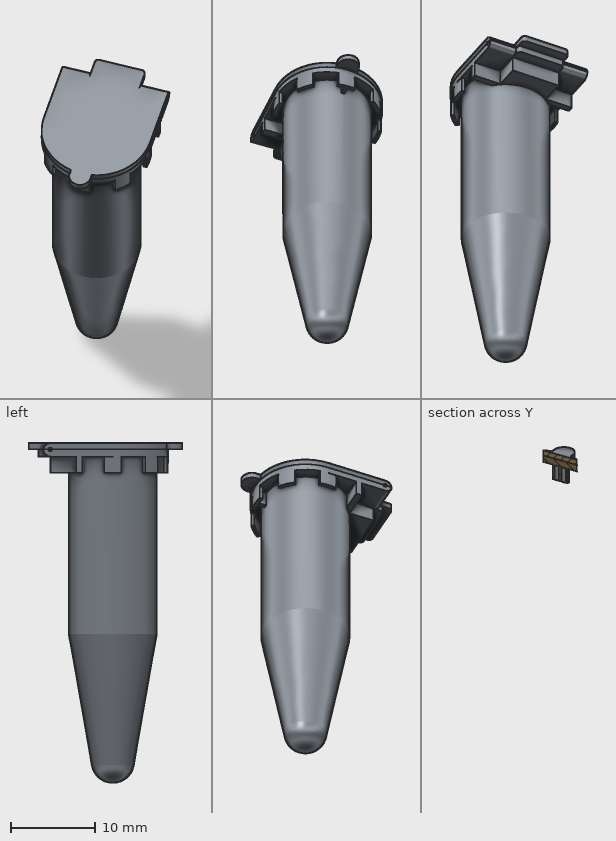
import cadquery as cq
import math

TOTAL_HEIGHT = 40.35
LID_THICKNESS = 0.75
FLANGE_THICKNESS = 0.85
TOOTH_HEIGHT = 1.95
CONE_TOP_Z = -22.68
CONE_BOTTOM_Z = -38.25

TUBE_RADIUS = 5.25
CONE_TIP_RADIUS = 2.5

HEAD_WIDTH = 13.1
HINGE_Y = 7.42

REAR_TAB_WIDTH = 6.17
LID_TAB_END_Y = 10.0
FLANGE_TAB_END_Y = 8.85
TAB_CORNER_RADIUS = 0.5
HINGE_HOLE_RADIUS = 0.2
HINGE_HOLE_DEPTH = 0.4

THUMB_TAB_WIDTH = 2.6
THUMB_TAB_END_Y = -8.27

TOOTH_WIDTH = 2.05
TOOTH_DEPTH = 0.4
TOOTH_ANGLES = (180, 225, 270, 315, 360)
RIB_THICKNESS = 0.4
WALL_FRONT_Y = 3.65
WALL_THICKNESS = 0.73

HEAD_RADIUS = HEAD_WIDTH / 2
PARTING_Z = -LID_THICKNESS
FLANGE_BOTTOM_Z = PARTING_Z - FLANGE_THICKNESS
SKIRT_BOTTOM_Z = FLANGE_BOTTOM_Z - TOOTH_HEIGHT


def head_plate(bottom_z, thickness):
    """Plate with a half-round front and straight sides that end at the hinge line."""
    return (
        cq.Workplane("XY", origin=(0, 0, bottom_z))
        .moveTo(-HEAD_RADIUS, HINGE_Y)
        .lineTo(-HEAD_RADIUS, 0)
        .threePointArc((0, -HEAD_RADIUS), (HEAD_RADIUS, 0))
        .lineTo(HEAD_RADIUS, HINGE_Y)
        .close()
        .extrude(thickness)
    )


def hinge_round(bottom_z, thickness):
    """Quarter-round rear edge of one plate, centred on the hinge axis at the parting plane."""
    barrel = (
        cq.Workplane("YZ", origin=(-HEAD_RADIUS, HINGE_Y, PARTING_Z))
        .circle(thickness)
        .extrude(HEAD_WIDTH)
    )
    quarter = cq.Workplane("XY").box(HEAD_WIDTH, thickness, thickness, centered=(True, False, False))
    return barrel.intersect(quarter.translate((0, HINGE_Y, bottom_z)))


def rear_tab(bottom_z, thickness, end_y):
    """Tab behind the hinge line with two rounded corners."""
    return (
        cq.Workplane("XY")
        .box(REAR_TAB_WIDTH, end_y, thickness, centered=(True, False, False))
        .edges("|Z and >Y")
        .fillet(TAB_CORNER_RADIUS)
        .translate((0, 0, bottom_z))
    )


def hinge_holes():
    """Blind pin holes on the hinge axis, one in each side."""
    left = (
        cq.Workplane("YZ", origin=(-HEAD_RADIUS, HINGE_Y, PARTING_Z))
        .circle(HINGE_HOLE_RADIUS)
        .extrude(HINGE_HOLE_DEPTH)
    )
    return left.union(left.mirror("YZ"))


def thumb_tab():
    """Round-ended tab for opening the lid."""
    end_radius = THUMB_TAB_WIDTH / 2
    straight_end_y = THUMB_TAB_END_Y + end_radius
    return (
        cq.Workplane("XY", origin=(0, 0, PARTING_Z))
        .moveTo(-end_radius, 0)
        .lineTo(-end_radius, straight_end_y)
        .threePointArc((0, THUMB_TAB_END_Y), (end_radius, straight_end_y))
        .lineTo(end_radius, 0)
        .close()
        .extrude(LID_THICKNESS)
    )


def make_lid():
    return (
        head_plate(PARTING_Z, LID_THICKNESS)
        .union(hinge_round(PARTING_Z, LID_THICKNESS))
        .union(rear_tab(PARTING_Z, LID_THICKNESS, LID_TAB_END_Y))
        .union(thumb_tab())
        .cut(hinge_holes())
    )


def tube_body():
    """Cylinder, cone and rounded tip, revolved about the Z axis."""
    tip_height = TOTAL_HEIGHT + CONE_BOTTOM_Z
    tip_radius = (CONE_TIP_RADIUS**2 + tip_height**2) / (2 * tip_height)
    half_angle = math.asin(CONE_TIP_RADIUS / tip_radius) / 2
    arc_mid = (
        tip_radius * math.sin(half_angle),
        -TOTAL_HEIGHT + tip_radius * (1 - math.cos(half_angle)),
    )
    return (
        cq.Workplane("XZ")
        .moveTo(0, PARTING_Z)
        .lineTo(TUBE_RADIUS, PARTING_Z)
        .lineTo(TUBE_RADIUS, CONE_TOP_Z)
        .lineTo(CONE_TIP_RADIUS, CONE_BOTTOM_Z)
        .threePointArc(arc_mid, (0, -TOTAL_HEIGHT))
        .close()
        .revolve(360, (0, 0), (0, 1))
    )


def skirt_tooth(angle):
    """Piece of a thin ring, cut to the tooth width with parallel sides."""
    ring = (
        cq.Workplane("XY", origin=(0, 0, SKIRT_BOTTOM_Z))
        .circle(HEAD_RADIUS)
        .circle(HEAD_RADIUS - TOOTH_DEPTH)
        .extrude(TOOTH_HEIGHT)
    )
    slab = (
        cq.Workplane("XY")
        .box(HEAD_RADIUS, TOOTH_WIDTH, TOOTH_HEIGHT, centered=(False, True, False))
        .translate((0, 0, SKIRT_BOTTOM_Z))
    )
    return ring.intersect(slab).rotate((0, 0, 0), (0, 0, 1), angle)


def front_rib():
    """Thin radial rib that joins the front tooth to the tube."""
    front_y = -(HEAD_RADIUS - TOOTH_DEPTH / 2)
    return (
        cq.Workplane("XY")
        .box(RIB_THICKNESS, -front_y, TOOTH_HEIGHT, centered=(True, False, False))
        .translate((0, front_y, SKIRT_BOTTOM_Z))
    )


def rear_block():
    """Block as wide as the rear tab, from the front of the cross wall to the hinge line."""
    return (
        cq.Workplane("XY")
        .box(REAR_TAB_WIDTH, HINGE_Y - WALL_FRONT_Y, TOOTH_HEIGHT, centered=(True, False, False))
        .translate((0, WALL_FRONT_Y, SKIRT_BOTTOM_Z))
    )


def cross_wall():
    """Wall across the full width behind the tube axis."""
    return (
        cq.Workplane("XY")
        .box(HEAD_WIDTH, WALL_THICKNESS, TOOTH_HEIGHT, centered=(True, False, False))
        .translate((0, WALL_FRONT_Y, SKIRT_BOTTOM_Z))
    )


def make_tube():
    tube = (
        head_plate(FLANGE_BOTTOM_Z, FLANGE_THICKNESS)
        .union(hinge_round(FLANGE_BOTTOM_Z, FLANGE_THICKNESS))
        .union(rear_tab(FLANGE_BOTTOM_Z, FLANGE_THICKNESS, FLANGE_TAB_END_Y))
        .union(tube_body())
        .union(front_rib())
        .union(cross_wall())
        .union(rear_block())
    )
    for angle in TOOTH_ANGLES:
        tube = tube.union(skirt_tooth(angle))
    return tube.cut(hinge_holes())


lid = make_lid()
tube = make_tube()
result = cq.Compound.makeCompound([lid.val(), tube.val()])